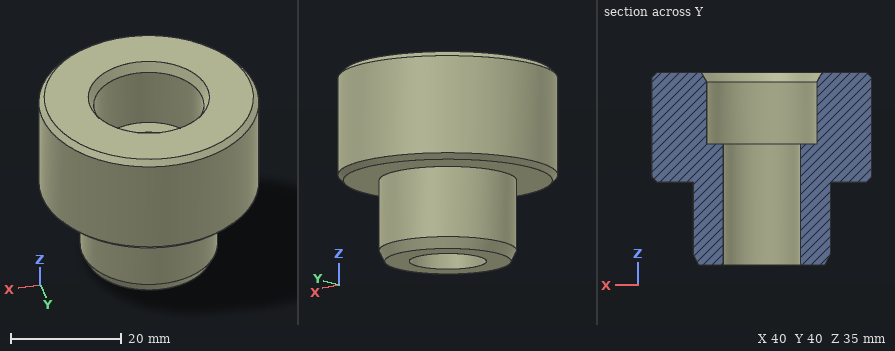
import cadquery as cq
import math

head_diameter = 40.0
head_height = 20.0
shank_diameter = 25.0
shank_height = 15.0
edge_chamfer = 1.0
tip_chamfer_radial = 1.0
tip_chamfer_axial = 2.0
through_diameter = 14.0
counterbore_diameter = 20.0
counterbore_depth = 13.0
mouth_chamfer_radial = 1.0
mouth_half_angle = 30.0

total_height = shank_height + head_height
head_radius = head_diameter / 2
shank_radius = shank_diameter / 2
through_radius = through_diameter / 2
counterbore_radius = counterbore_diameter / 2
counterbore_floor = total_height - counterbore_depth
mouth_chamfer_axial = mouth_chamfer_radial / math.tan(math.radians(mouth_half_angle))

half_section = (
    cq.Workplane("XZ")
    .moveTo(through_radius, 0)
    .lineTo(shank_radius - tip_chamfer_radial, 0)
    .lineTo(shank_radius, tip_chamfer_axial)
    .lineTo(shank_radius, shank_height)
    .lineTo(head_radius - edge_chamfer, shank_height)
    .lineTo(head_radius, shank_height + edge_chamfer)
    .lineTo(head_radius, total_height - edge_chamfer)
    .lineTo(head_radius - edge_chamfer, total_height)
    .lineTo(counterbore_radius + mouth_chamfer_radial, total_height)
    .lineTo(counterbore_radius, total_height - mouth_chamfer_axial)
    .lineTo(counterbore_radius, counterbore_floor)
    .lineTo(through_radius, counterbore_floor)
    .close()
)

result = half_section.revolve(360, (0, 0, 0), (0, 1, 0))